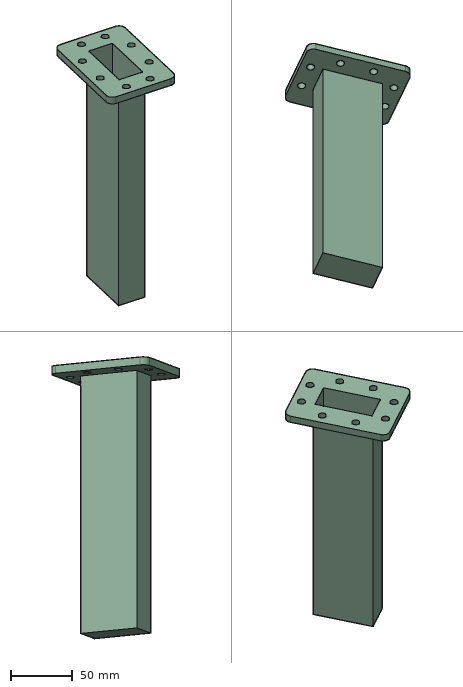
import cadquery as cq

total_length = 220.0
flange_width = 88.9
flange_depth = 63.5
flange_thickness = 6.5
corner_radius = 6.0

bore_width = 48.6
bore_depth = 22.2
wall = 1.3
end_wall = 1.3
tube_width = bore_width + 2 * wall
tube_depth = bore_depth + 2 * wall

hole_diameter = 6.4
side_hole_x = 35.9
side_hole_y = 11.2
edge_hole_x = 14.3
edge_hole_y = 23.0


def block(width, depth, bottom, top):
    """Box centred on the Z axis between two heights."""
    return cq.Workplane("XY").workplane(offset=bottom).rect(width, depth).extrude(top - bottom)


def mirrored(x, y):
    """The four mirror images of a point about the X and Y axes."""
    return [(sx * x, sy * y) for sx in (-1, 1) for sy in (-1, 1)]


flange_bottom = total_length - flange_thickness
flange = block(flange_width, flange_depth, flange_bottom, total_length).edges("|Z").fillet(corner_radius)
tube = block(tube_width, tube_depth, 0, total_length)
bore = block(bore_width, bore_depth, end_wall, total_length)

hole_centres = mirrored(side_hole_x, side_hole_y) + mirrored(edge_hole_x, edge_hole_y)
bolt_holes = (
    cq.Workplane("XY")
    .workplane(offset=flange_bottom)
    .pushPoints(hole_centres)
    .circle(hole_diameter / 2)
    .extrude(flange_thickness)
)

result = flange.union(tube).cut(bore).cut(bolt_holes)